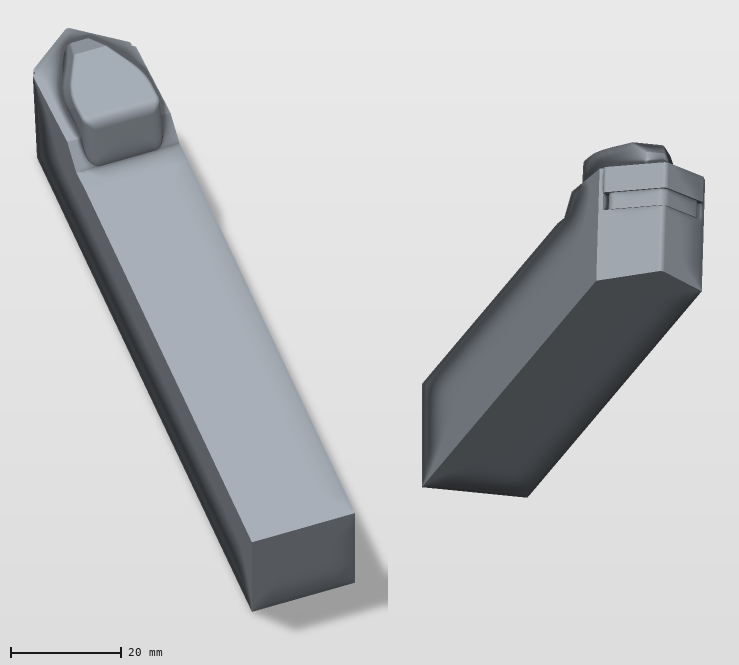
import cadquery as cq
import math

SHANK_LENGTH = 124.8
SHANK_SIZE = 20.0
HALF_WIDTH = SHANK_SIZE / 2
CREST_X = 27.2
NOTCH_X = 32.1
NOTCH_END_X = 36.5
NOTCH_DEPTH = 0.5
FRONT_STOCK = 6.2

TILT = 6.0
NOSE_ANGLE = 100.0
HALF_NOSE = math.radians(NOSE_ANGLE / 2)

INSERT_CIRCLE = 12.7
INSERT_THICKNESS = 4.7
INSERT_CORNER = 0.8
SHIM_THICKNESS = 3.1
SHIM_CORNER = 1.5
SHIM_INSET = 0.5
HEAD_INSET = 0.7
HEAD_CORNER = 0.9

INSERT_HALF_LENGTH = INSERT_CIRCLE / 2 / math.sin(HALF_NOSE)
TIP_SETBACK = INSERT_CORNER * (1 / math.sin(HALF_NOSE) - 1)
INSERT_CENTRE_U = INSERT_HALF_LENGTH - TIP_SETBACK

CLAMP_HALF_WIDTH = 7.5
CLAMP_NOSE_U = 5.7
NOSE_BOTTOM = 0.4
NOSE_FACE_TOP = 1.9
NOSE_LIP_U = 9.4
NOSE_RAMP_U = 11.9
NOSE_BREAK = (7.1, 3.5)
CLAMP_TOP_FRONT = (13.1, 6.6)
CLAMP_TOP_REAR = (30.8, 6.7)
CLAMP_LEAN = 45.0
CLAMP_TAPER = 25.0
FLANK_RADIUS = 17.0
FLANK_END_U = 19.5
CLAMP_GAP = 1.06
CLAMP_CREST_U = 27.5
CLAMP_HEEL = (29.3, -1.9)
CLAMP_FOOT = (31.8, -3.9)
CLAMP_REAR_RADIUS = 2.18
CLAMP_EDGE_RADIUS = 0.7

MARGIN = 0.1


def tilted(shape):
    """Move a shape from the head frame to its place on the shank."""
    return shape.rotate((0, 0, 0), (0, 1, 0), -TILT).translate((0, 0, SHANK_SIZE))


def rhombus(inset, corner, top, thickness):
    """Rhombic plate around the insert centre, in the head frame, hanging down from w = top."""
    half_length = (INSERT_CIRCLE / 2 - inset) / math.sin(HALF_NOSE)
    half_width = half_length * math.tan(HALF_NOSE)
    return (
        cq.Workplane("XY", origin=(INSERT_CENTRE_U, 0, top))
        .polyline([(-half_length, 0), (0, -half_width), (half_length, 0), (0, half_width)])
        .close()
        .extrude(-thickness)
        .edges("|Z")
        .fillet(corner)
    )


def make_shank():
    """Square bar with a raised, tilted head top, a notch behind it and a pointed front."""
    crest_z = SHANK_SIZE + CREST_X * math.tan(math.radians(TILT))
    front_z = SHANK_SIZE - FRONT_STOCK * math.tan(math.radians(TILT))
    bar = (
        cq.Workplane("XZ")
        .polyline([
            (-FRONT_STOCK, 0),
            (SHANK_LENGTH, 0),
            (SHANK_LENGTH, SHANK_SIZE),
            (NOTCH_END_X, SHANK_SIZE),
            (NOTCH_X, SHANK_SIZE - NOTCH_DEPTH),
            (CREST_X, crest_z),
            (-FRONT_STOCK, front_z),
        ])
        .close()
        .extrude(HALF_WIDTH, both=True)
    )
    reach = 2 * SHANK_SIZE
    corner_u = INSERT_CENTRE_U - (INSERT_CIRCLE / 2 - HEAD_INSET) / math.sin(HALF_NOSE)
    end_u = SHANK_LENGTH + reach
    shoulder_u = corner_u + reach / math.tan(HALF_NOSE)
    point = (
        cq.Workplane("XY", origin=(0, 0, -reach))
        .polyline([
            (corner_u, 0),
            (shoulder_u, -reach),
            (end_u, -reach),
            (end_u, reach),
            (shoulder_u, reach),
        ])
        .close()
        .extrude(2 * reach)
        .edges("|Z and <X")
        .fillet(HEAD_CORNER)
    )
    return bar.intersect(tilted(point))


def clamp_blank():
    """Clamp as a full-width bar: sloped nose, flat top, raked back and a foot on the notch slope."""
    rear_u, rear_w = CLAMP_TOP_REAR
    foot_u, foot_w = CLAMP_FOOT
    bar = (
        cq.Workplane("XZ")
        .polyline([
            (CLAMP_NOSE_U, NOSE_BOTTOM),
            (CLAMP_NOSE_U, NOSE_FACE_TOP),
            NOSE_BREAK,
            CLAMP_TOP_FRONT,
            CLAMP_TOP_REAR,
            CLAMP_FOOT,
            CLAMP_HEEL,
            (CLAMP_CREST_U, CLAMP_GAP),
            (NOSE_RAMP_U, CLAMP_GAP),
            (NOSE_LIP_U, NOSE_BOTTOM),
        ])
        .close()
        .extrude(CLAMP_HALF_WIDTH, both=True)
    )
    back_edges = cq.selectors.BoxSelector(
        (rear_u - MARGIN, -SHANK_SIZE, foot_w + MARGIN),
        (foot_u, SHANK_SIZE, rear_w + MARGIN),
    )
    return bar.edges(back_edges).fillet(CLAMP_REAR_RADIUS)


def clamp_flanks():
    """Solid between the clamp's leaning side walls: the plan outline at w = 0 swept along the lean."""
    taper = math.radians(CLAMP_TAPER)

    def arc_point(angle):
        """Distance along the clamp and from its midplane, on the arc at this plan angle."""
        return (
            FLANK_END_U - FLANK_RADIUS * math.sin(angle),
            CLAMP_HALF_WIDTH - FLANK_RADIUS * (1 - math.cos(angle)),
        )

    flank_u, flank_v = arc_point(taper)
    mid_u, mid_v = arc_point(taper / 2)
    apex_u = flank_u - flank_v / math.tan(taper)
    rear_u = 2 * CLAMP_TOP_REAR[0]
    outline = (
        cq.Workplane("XY")
        .moveTo(apex_u, 0)
        .lineTo(flank_u, -flank_v)
        .threePointArc((mid_u, -mid_v), (FLANK_END_U, -CLAMP_HALF_WIDTH))
        .lineTo(rear_u, -CLAMP_HALF_WIDTH)
        .lineTo(rear_u, CLAMP_HALF_WIDTH)
        .lineTo(FLANK_END_U, CLAMP_HALF_WIDTH)
        .threePointArc((mid_u, mid_v), (flank_u, flank_v))
        .close()
        .val()
    )
    rise = SHANK_SIZE
    lean = cq.Vector(rise * math.tan(math.radians(CLAMP_LEAN)), 0, rise)
    return cq.Workplane(cq.Solid.extrudeLinear(outline.translate(-lean), [], lean * 2))


def make_clamp():
    """Tapered clamp finger in the head frame, its flanks rounded along the nose and the top."""
    clamp = clamp_blank().intersect(clamp_flanks())
    top_front_u, top_front_w = CLAMP_TOP_FRONT
    rear_round_u = CLAMP_TOP_REAR[0] - CLAMP_REAR_RADIUS
    nose_box = cq.selectors.BoxSelector(
        (0, -SHANK_SIZE, CLAMP_GAP - MARGIN), (NOSE_RAMP_U, SHANK_SIZE, top_front_w))
    top_box = cq.selectors.BoxSelector(
        (top_front_u, -SHANK_SIZE, top_front_w - MARGIN), (rear_round_u, SHANK_SIZE, SHANK_SIZE))
    cross_edges = cq.selectors.ParallelDirSelector(cq.Vector(0, 1, 0))
    return clamp.edges(nose_box + top_box - cross_edges).fillet(CLAMP_EDGE_RADIUS)


def make_insert():
    """Rhombic cutting insert, flush with the head top."""
    return tilted(rhombus(0, INSERT_CORNER, 0, INSERT_THICKNESS))


def make_holder(insert):
    """Shank with its insert pocket, the shim seated in it and the clamp on top."""
    depth = INSERT_THICKNESS + SHIM_THICKNESS
    pocket = tilted(rhombus(0, INSERT_CORNER, 0, depth))
    shim = tilted(rhombus(SHIM_INSET, SHIM_CORNER, -INSERT_THICKNESS, SHIM_THICKNESS))
    return make_shank().cut(pocket).union(shim).union(tilted(make_clamp())).cut(insert)


insert = make_insert()
holder = make_holder(insert)
result = cq.Compound.makeCompound([holder.val(), insert.val()])